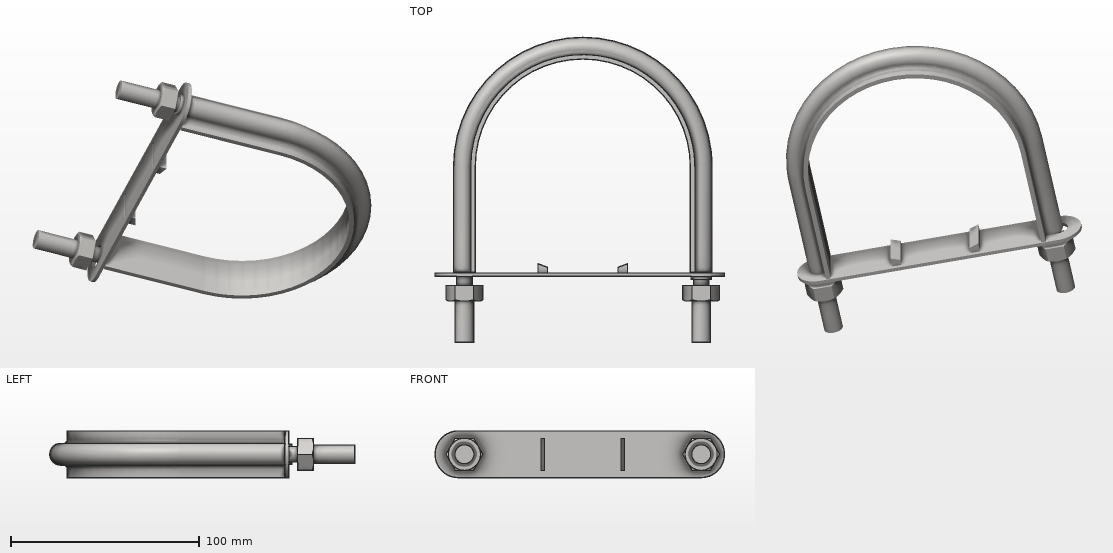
import cadquery as cq
import math


leg_offset = 63.0
neck_diameter = 8.5
thread_diameter = 10.0

sleeve_diameter = 11.7
sleeve_end_diameter = 10.9
right_overhang = 1.6
left_recess = 1.5
strap_width = 25.0
strap_thickness = 2.5
strap_fillet = 2.0
strap_gap = 0.3

plate_length = 154.0
plate_offset = -1.6
plate_thickness = 2.0
slot_length = 13.6

boss_offset = 21.2
boss_wall = 1.6
boss_slot_width = 2.0
boss_slot_height = 17.0
boss_tall_side = 4.9
boss_short_side = 3.0

nut_across_flats = 17.0
nut_height = 8.5
nut_chamfer_angle = 30.0

overall_length = 162.2
nut_to_rod_end = 21.9
plate_to_rod_end = 35.0
rod_end = leg_offset + sleeve_diameter / 2 - overall_length
nut_bottom = rod_end + nut_to_rod_end
nut_top = nut_bottom + nut_height
plate_bottom = rod_end + plate_to_rod_end
plate_top = plate_bottom + plate_thickness
cushion_end = plate_top + strap_gap
right_sleeve_end = plate_bottom - right_overhang
left_sleeve_end = plate_bottom + left_recess

seam_tolerance = 0.2
strap_inner = leg_offset - sleeve_diameter / 2
strap_outer = strap_inner + strap_thickness


def cylinder(x, y_start, y_end, diameter):
    """Round bar along Y."""
    start = cq.Workplane("XZ", origin=(x, y_start, 0))
    return start.circle(diameter / 2).extrude(y_start - y_end)


def u_bar(diameter, end):
    """Round bar bent into a U, with both legs ending at the same Y."""
    path = (
        cq.Workplane("XY")
        .moveTo(-leg_offset, end)
        .lineTo(-leg_offset, 0)
        .threePointArc((0, leg_offset), (leg_offset, 0))
        .lineTo(leg_offset, end)
    )
    section = cq.Workplane("XZ", origin=(-leg_offset, end, 0)).circle(diameter / 2)
    return section.sweep(path)


def u_outline(radius, end):
    """Flat U-shaped region, extruded over the strap width."""
    return (
        cq.Workplane("XY", origin=(0, 0, -strap_width / 2))
        .moveTo(-radius, end)
        .lineTo(-radius, 0)
        .threePointArc((0, radius), (radius, 0))
        .lineTo(radius, end)
        .close()
        .extrude(strap_width)
    )


def make_u_bolt():
    bolt = u_bar(neck_diameter, nut_top)
    for x in (-leg_offset, leg_offset):
        bolt = bolt.union(cylinder(x, nut_top, rod_end, thread_diameter))
    return bolt


def make_cushion():
    strap = u_outline(strap_outer, cushion_end).cut(u_outline(strap_inner, cushion_end))
    cushion = u_bar(sleeve_diameter, cushion_end).union(strap)

    seam_height = math.sqrt((sleeve_diameter / 2) ** 2 - (leg_offset - strap_outer) ** 2)
    reach = strap_outer + seam_tolerance
    for z in (-seam_height, seam_height):
        seam = cq.selectors.BoxSelector(
            (-reach, cushion_end - seam_tolerance, z - seam_tolerance),
            (reach, reach, z + seam_tolerance),
            boundingbox=True,
        )
        cushion = cushion.edges(seam).fillet(strap_fillet)

    for x, end in ((-leg_offset, left_sleeve_end), (leg_offset, right_sleeve_end)):
        cushion = cushion.union(cylinder(x, cushion_end, end, sleeve_end_diameter))
    return cushion.cut(u_bar(neck_diameter, right_sleeve_end))


def boss_profile(half_width, inset):
    """Boss cross-section in XY, raised from the plate underside; its roof falls toward +X.

    The inset lowers the roof, so that the same shape serves as the hollow inside.
    """
    fall = (boss_tall_side - boss_short_side) / (boss_slot_width + 2 * boss_wall)
    middle = plate_top + (boss_tall_side + boss_short_side) / 2 - inset
    return [
        (-half_width, plate_bottom),
        (-half_width, middle + fall * half_width),
        (half_width, middle - fall * half_width),
        (half_width, plate_bottom),
    ]


def boss_prism(half_width, inset, height):
    profile = cq.Workplane("XY", origin=(0, 0, -height / 2)).polyline(boss_profile(half_width, inset))
    return profile.close().extrude(height)


def place_pair(shape):
    """Copy on the left and its mirror image on the right, so that the tall sides face outward."""
    left = shape.translate((-boss_offset, 0, 0))
    return left, left.mirror("YZ")


def make_plate():
    blank = cq.Workplane("XZ", origin=(plate_offset, plate_top, 0))
    plate = blank.slot2D(plate_length, strap_width).extrude(plate_thickness)

    solid = boss_prism(boss_slot_width / 2 + boss_wall, 0, boss_slot_height + 2 * boss_wall)
    hollow = boss_prism(boss_slot_width / 2, boss_wall, boss_slot_height)
    for boss, cavity in zip(place_pair(solid), place_pair(hollow)):
        plate = plate.union(boss).cut(cavity)

    left_slot = cq.Workplane("XZ", origin=(plate_offset - leg_offset, plate_top, 0))
    plate = plate.cut(left_slot.slot2D(slot_length, sleeve_end_diameter).extrude(plate_thickness))
    return plate.cut(cylinder(leg_offset, plate_top, plate_bottom, sleeve_end_diameter))


def make_nut(x):
    """Hexagon nut with its outer end face chamfered to the inscribed circle."""
    corner_radius = nut_across_flats / 2 / math.cos(math.pi / 6)
    blank = cq.Workplane("XZ", origin=(x, nut_top, 0))
    nut = blank.polygon(6, 2 * corner_radius).extrude(nut_height)

    flat_radius = nut_across_flats / 2
    chamfer_depth = (corner_radius - flat_radius) * math.tan(math.radians(nut_chamfer_angle))
    envelope = (
        cq.Workplane("XY")
        .moveTo(0, nut_top)
        .lineTo(corner_radius, nut_top)
        .lineTo(corner_radius, nut_bottom + chamfer_depth)
        .lineTo(flat_radius, nut_bottom)
        .lineTo(0, nut_bottom)
        .close()
        .revolve(360, (0, 0), (0, 1))
        .translate((x, 0, 0))
    )
    return nut.intersect(envelope).cut(cylinder(x, nut_top, nut_bottom, thread_diameter))


u_bolt = make_u_bolt()
cushion = make_cushion()
plate = make_plate()
nuts = [make_nut(x) for x in (-leg_offset, leg_offset)]

result = cq.Compound.makeCompound(
    [u_bolt.val(), cushion.val(), plate.val(), *[nut.val() for nut in nuts]]
)